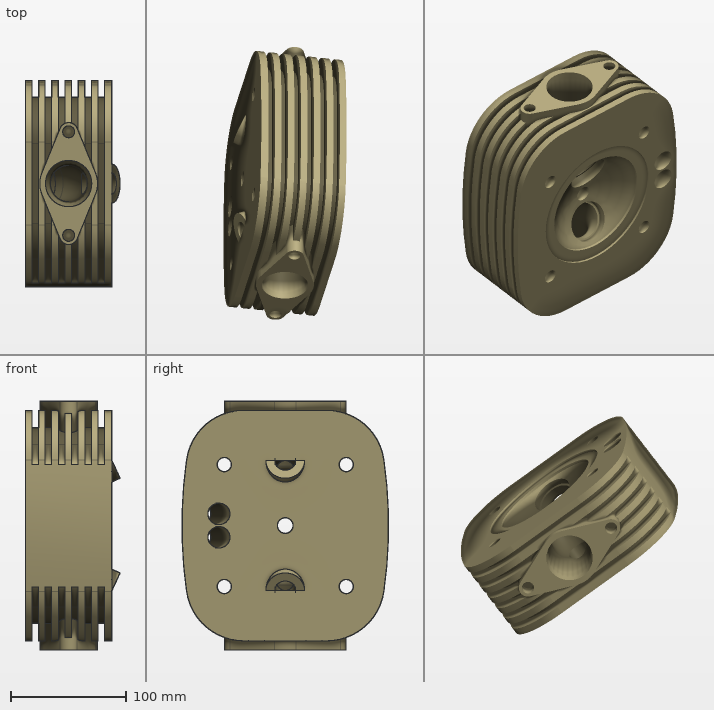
import cadquery as cq
import math


body_depth = 75.2
body_width = 179.5
half_width = body_width / 2
fin_half_height = 100.0
side_radius = 400.0
corner_radius = 50.1

gap_count = 6
fin_thickness = 5.8
gap_width = 5.6
fin_pitch = fin_thickness + gap_width

core_half_height = 84.9
core_half_width = 75.0
core_radius = 40.5
slope_start = 50.0
slope_angle = 40.0
slope_reach = 32.5

flange_height = 108.0
flange_x = body_depth / 2
flange_centre_radius = 25.0
flange_nose_radius = 8.0
flange_root = 64.8
stud_spacing = 89.9
stud_radius = 5.2
stud_depth = 17.3

valve_angle = 25.0
boss_face_z = 56.4
boss_radius = 16.8
boss_length = 26.0
guide_radius = 9.0
seat_radius = 18.0
seat_floor_distance = 61.5
port_radius = 15.8
port_mouth_radius = 20.0
bend_radius = 20.0

recess_radius = 58.0
recess_depth = 2.0
chamber_radius = 46.9
chamber_rim_depth = 4.0
dome_depth = 19.5
plug_radius = 6.7

bolt_offset = 53.0
bolt_radius = 6.0
pushrod_radius = 9.3
pushrod_y = -74.3
pushrod_z = 10.2
pushrod_shift = 16.8
pushrod_overrun = 21.5

valve_sin = math.sin(math.radians(valve_angle))
valve_cos = math.cos(math.radians(valve_angle))
valve_direction = cq.Vector(valve_cos, 0, valve_sin)
boss_face = cq.Vector(body_depth, 0, boss_face_z)


def x_cylinder(radius, start, end, y=0, z=0):
    """Cylinder parallel to the X axis."""
    return cq.Workplane("YZ", origin=(start, y, z)).circle(radius).extrude(end - start)


def axis_cylinder(radius, start, direction, length):
    """Cylinder along any direction."""
    return cq.Workplane(cq.Solid.makeCylinder(radius, length, start, direction))


def outer_body():
    """Barrel-sided block with large rounded corners."""
    arc_centre = half_width - side_radius
    edge_y = arc_centre + math.sqrt(side_radius**2 - fin_half_height**2)
    return (
        cq.Workplane("YZ")
        .moveTo(-edge_y, -fin_half_height)
        .lineTo(edge_y, -fin_half_height)
        .threePointArc((half_width, 0), (edge_y, fin_half_height))
        .lineTo(-edge_y, fin_half_height)
        .threePointArc((-half_width, 0), (-edge_y, -fin_half_height))
        .close()
        .extrude(body_depth)
        .edges("|X")
        .fillet(corner_radius)
    )


def core():
    """Core between the fins: rounded on +Y, flaring out to the solid -Y side."""
    arc_y = core_half_width - core_radius
    arc_z = core_half_height - core_radius

    def on_arc(angle):
        turn = math.radians(angle)
        return arc_y + core_radius * math.sin(turn), arc_z + core_radius * math.cos(turn)

    mid_y, mid_z = on_arc(slope_start / 2)
    slope_y, slope_z = on_arc(slope_start)
    far_y = slope_y + slope_reach * math.cos(math.radians(slope_angle))
    far_z = slope_z - slope_reach * math.sin(math.radians(slope_angle))
    round_y, round_z = on_arc(45)
    return (
        cq.Workplane("YZ")
        .moveTo(arc_y, core_half_height)
        .lineTo(-arc_y, core_half_height)
        .threePointArc((-mid_y, mid_z), (-slope_y, slope_z))
        .lineTo(-far_y, far_z)
        .lineTo(-far_y, -far_z)
        .lineTo(-slope_y, -slope_z)
        .threePointArc((-mid_y, -mid_z), (-arc_y, -core_half_height))
        .lineTo(arc_y, -core_half_height)
        .threePointArc((round_y, -round_z), (core_half_width, -arc_z))
        .lineTo(core_half_width, arc_z)
        .threePointArc((round_y, round_z), (arc_y, core_half_height))
        .close()
        .extrude(body_depth)
    )


def finned_body():
    """Outer body with the fin gaps cut down to the core."""
    body = outer_body()
    inner = core()
    for index in range(gap_count):
        gap_start = index * fin_pitch + fin_thickness
        slab = cq.Workplane("YZ", origin=(gap_start, 0, 0))
        slab = slab.rect(2 * flange_height, 2 * flange_height).extrude(gap_width)
        body = body.cut(slab.cut(inner))
    return body


def port_flange():
    """Upper flange: a central disc joined to two stud noses by tangent flanks."""
    nose_y = stud_spacing / 2
    lean_sin = (flange_centre_radius - flange_nose_radius) / nose_y
    lean_cos = math.sqrt(1 - lean_sin**2)
    centre_x = flange_centre_radius * lean_cos
    centre_y = flange_centre_radius * lean_sin
    tip_x = flange_nose_radius * lean_cos
    tip_y = nose_y + flange_nose_radius * lean_sin
    return (
        cq.Workplane("XY", origin=(flange_x, 0, flange_root))
        .moveTo(centre_x, -centre_y)
        .threePointArc((flange_centre_radius, 0), (centre_x, centre_y))
        .lineTo(tip_x, tip_y)
        .threePointArc((0, nose_y + flange_nose_radius), (-tip_x, tip_y))
        .lineTo(-centre_x, centre_y)
        .threePointArc((-flange_centre_radius, 0), (-centre_x, -centre_y))
        .lineTo(-tip_x, -tip_y)
        .threePointArc((0, -nose_y - flange_nose_radius), (tip_x, -tip_y))
        .close()
        .extrude(flange_height - flange_root)
    )


def stud_holes():
    return (
        cq.Workplane("XY", origin=(flange_x, 0, flange_height))
        .pushPoints([(0, stud_spacing / 2), (0, -stud_spacing / 2)])
        .circle(stud_radius)
        .extrude(-stud_depth)
    )


def valve_boss():
    return axis_cylinder(boss_radius, boss_face, -valve_direction, boss_length)


def valve_port():
    """Seat, bent passage, flared mouth and guide bore of the upper valve."""
    seat_floor = boss_face - valve_direction * seat_floor_distance
    seat = axis_cylinder(seat_radius, seat_floor, -valve_direction, seat_floor_distance / 2)

    turn = math.radians(90 - valve_angle)
    tangent_length = bend_radius * math.tan(turn / 2)
    corner = boss_face - valve_direction * ((body_depth - flange_x) / valve_cos)
    bend_start = corner - valve_direction * tangent_length
    bend_end = corner + cq.Vector(0, 0, tangent_length)
    bend_centre = bend_end - cq.Vector(bend_radius, 0, 0)
    bend_mid = bend_centre + cq.Vector(math.cos(turn / 2), 0, -math.sin(turn / 2)) * bend_radius

    path = cq.Workplane(cq.Wire.assembleEdges([
        cq.Edge.makeLine(seat_floor, bend_start),
        cq.Edge.makeThreePointArc(bend_start, bend_mid, bend_end),
    ]))
    passage = (
        cq.Workplane(cq.Plane(seat_floor, xDir=(0, 1, 0), normal=valve_direction))
        .circle(port_radius)
        .sweep(path)
    )
    mouth = cq.Workplane(cq.Solid.makeCone(
        port_radius, port_mouth_radius, flange_height - bend_end.z, bend_end, cq.Vector(0, 0, 1)
    ))
    guide = axis_cylinder(guide_radius, boss_face, -valve_direction, seat_floor_distance)
    return seat.union(passage).union(mouth).union(guide)


def combustion_chamber():
    """Gasket recess, chamber rim and spherical dome with the spark plug hole."""
    rise = dome_depth - chamber_rim_depth
    dome_radius = (chamber_radius**2 + rise**2) / (2 * rise)
    half_angle = math.asin(chamber_radius / dome_radius) / 2
    mid_x = dome_depth - dome_radius * (1 - math.cos(half_angle))
    mid_radius = dome_radius * math.sin(half_angle)
    chamber = (
        cq.Workplane("XY")
        .lineTo(0, recess_radius)
        .lineTo(recess_depth, recess_radius)
        .lineTo(recess_depth, chamber_radius)
        .lineTo(chamber_rim_depth, chamber_radius)
        .threePointArc((mid_x, mid_radius), (dome_depth, 0))
        .close()
        .revolve(360, (0, 0), (1, 0))
    )
    return chamber.union(x_cylinder(plug_radius, 0, body_depth))


def pushrod_hole(z):
    """Inclined hole, started outside both faces so that it opens fully."""
    through = cq.Vector(body_depth, pushrod_shift, 0)
    direction = through.normalized()
    start = cq.Vector(0, pushrod_y, z) - direction * pushrod_overrun
    length = through.Length + 2 * pushrod_overrun
    return axis_cylinder(pushrod_radius, start, direction, length)


def mirrored(shape):
    """The same feature on the -Z half."""
    return shape.mirror("XY")


result = finned_body()
for feature in (port_flange(), valve_boss()):
    result = result.union(feature).union(mirrored(feature))

result = result.cut(combustion_chamber())
for feature in (valve_port(), stud_holes()):
    result = result.cut(feature).cut(mirrored(feature))

for side in (-1, 1):
    result = result.cut(pushrod_hole(side * pushrod_z))
    for end in (-1, 1):
        bolt_hole = x_cylinder(bolt_radius, 0, body_depth, side * bolt_offset, end * bolt_offset)
        result = result.cut(bolt_hole)